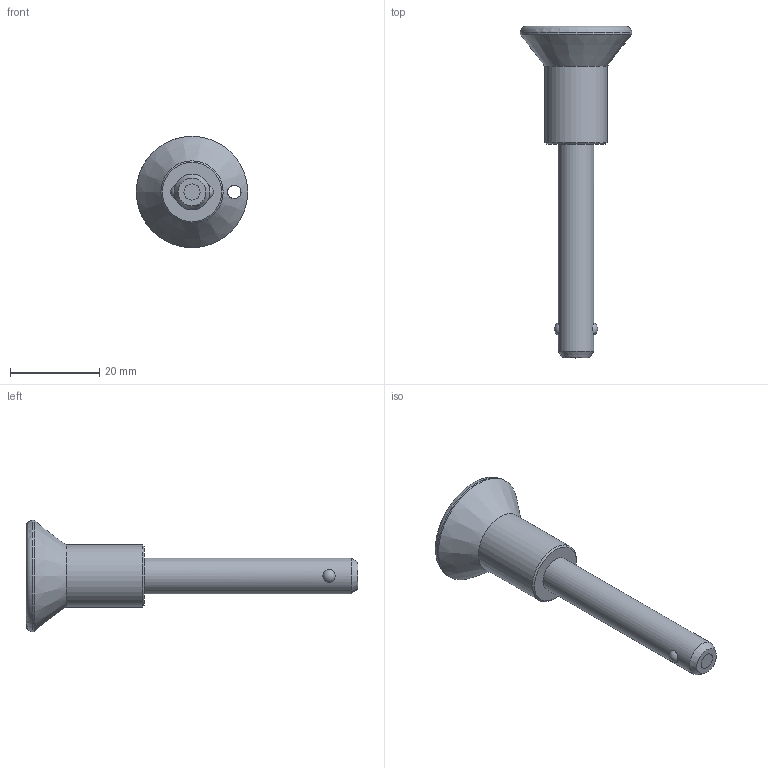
import cadquery as cq

overall_length = 74.5

knob_diameter = 25.0
knob_rounding = 1.5
knob_rim_end = 1.85
knob_end = 9.0

sleeve_diameter = 14.0
sleeve_end = 26.5
sleeve_chamfer = 0.35

pin_diameter = 8.0
pin_chamfer_length = 1.5
pin_chamfer_depth = 0.87
plunger_diameter = 3.6
plunger_length = 10.0
plunger_protrusion = 0.02

ball_diameter = 3.04
ball_span = 9.7
ball_to_tip = 6.5

cord_hole_diameter = 3.0
cord_hole_offset = 9.5

knob_back_y = overall_length / 2
tip_y = -overall_length / 2


def y_at(distance):
    """Y position at a distance from the back of the knob."""
    return knob_back_y - distance


def make_body():
    """Knob, sleeve and pin revolved as one profile."""
    knob_radius = knob_diameter / 2
    sleeve_radius = sleeve_diameter / 2
    pin_radius = pin_diameter / 2
    pin_end_y = tip_y + plunger_protrusion
    return (
        cq.Workplane("XY")
        .moveTo(0, knob_back_y)
        .lineTo(knob_radius - knob_rounding, knob_back_y)
        .radiusArc((knob_radius, y_at(knob_rounding)), knob_rounding)
        .lineTo(knob_radius, y_at(knob_rim_end))
        .lineTo(sleeve_radius, y_at(knob_end))
        .lineTo(sleeve_radius, y_at(sleeve_end - sleeve_chamfer))
        .lineTo(sleeve_radius - sleeve_chamfer, y_at(sleeve_end))
        .lineTo(pin_radius, y_at(sleeve_end))
        .lineTo(pin_radius, pin_end_y + pin_chamfer_length)
        .lineTo(pin_radius - pin_chamfer_depth, pin_end_y)
        .lineTo(0, pin_end_y)
        .close()
        .revolve(360, (0, 0), (0, 1))
    )


def make_plunger():
    """Round plunger running from the tip back into the pin."""
    return (
        cq.Workplane("XZ", origin=(0, tip_y, 0))
        .circle(plunger_diameter / 2)
        .extrude(-plunger_length)
    )


def make_ball(side):
    """Locking ball partly sunk in the pin, on the -X or +X side."""
    ball_x = side * (ball_span - ball_diameter) / 2
    return cq.Workplane("XZ", origin=(ball_x, tip_y + ball_to_tip, 0)).sphere(ball_diameter / 2)


def make_cord_hole():
    """Cutter for the cord hole, parallel to the pin."""
    return (
        cq.Workplane("XZ", origin=(cord_hole_offset, knob_back_y, 0))
        .circle(cord_hole_diameter / 2)
        .extrude(knob_end)
    )


result = make_body().union(make_plunger())
for side in (-1, 1):
    result = result.union(make_ball(side))
result = result.cut(make_cord_hole())